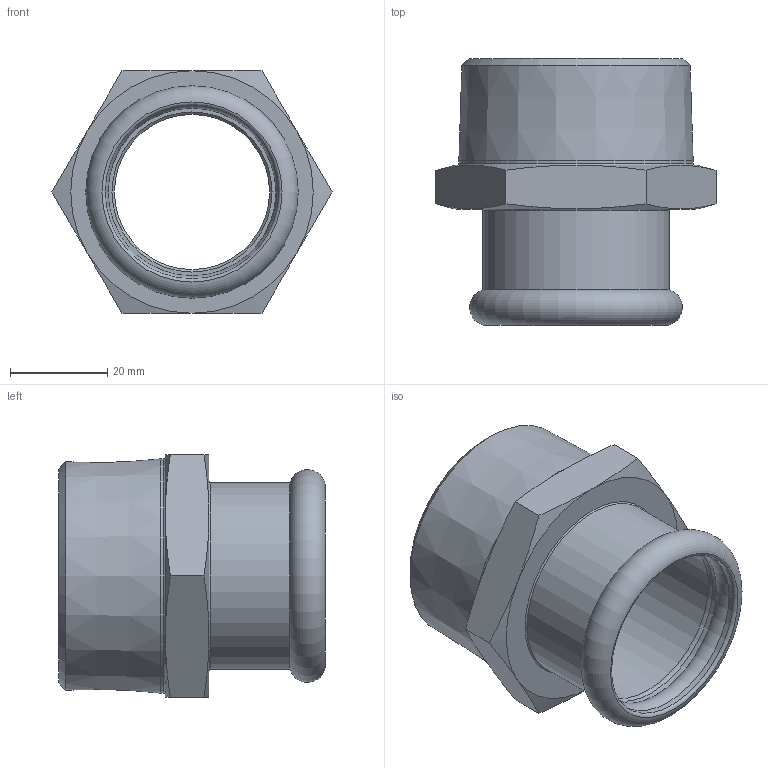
import cadquery as cq
import math

total_length = 55.0

across_flats = 50.0
across_corners = across_flats / math.cos(math.radians(30))
hex_start = 24.0
hex_end = 33.0
hex_chamfer_angle = 15.0

tube_radius = 38.4 / 2
tube_root_fillet = 0.3
bead_radius = 3.72
bead_center_radius = 18.2

lip_edge_radius = 18.57
mouth_radius = 35.8 / 2
seal_half_width = 1.8
seal_crest_radius = 17.3
mouth_end = 6.7
socket_radius = 35.4 / 2
narrowing_end = 7.7
socket_depth = 26.0

bore_radius = 32.0 / 2
bore_chamfer = 0.5

thread_radius = 48.3 / 2
thread_root_fillet = 0.4
thread_taper_start = 34.0
thread_taper = 1 / 16
thread_chamfer_length = 1.5
thread_end_radius = 22.05


def chord_half_width(circle_radius, offset):
    """Half length of the chord lying at the given offset from a circle's center."""
    return math.sqrt(circle_radius**2 - offset**2)


def revolve_about_axis(profile):
    return profile.close().revolve(360, (0, 0, 0), (0, 1, 0))


def add_fillet(profile, center, radius, start_angle, end_angle):
    """Continue the profile along an arc given by its center and its angles in degrees."""
    def arc_point(angle):
        turn = math.radians(angle)
        return (center[0] + radius * math.cos(turn), center[1] + radius * math.sin(turn))

    return profile.threePointArc(arc_point((start_angle + end_angle) / 2), arc_point(end_angle))


def make_hexagon():
    """Hexagonal nut with both faces chamfered down to the inscribed circle."""
    prism = (
        cq.Workplane("XZ", origin=(0, hex_start, 0))
        .polygon(6, across_corners)
        .extrude(hex_start - hex_end)
    )
    flat_radius = across_flats / 2
    corner_radius = across_corners / 2
    chamfer_length = (corner_radius - flat_radius) * math.tan(math.radians(hex_chamfer_angle))
    envelope = (
        cq.Workplane("XY")
        .moveTo(0, hex_start)
        .lineTo(flat_radius, hex_start)
        .lineTo(corner_radius, hex_start + chamfer_length)
        .lineTo(corner_radius, hex_end - chamfer_length)
        .lineTo(flat_radius, hex_end)
        .lineTo(0, hex_end)
    )
    return prism.intersect(revolve_about_axis(envelope))


def make_tube():
    """Socket tube with the rounded bead at its mouth and a small fillet against the hexagon."""
    bead_end = bead_radius + chord_half_width(bead_radius, tube_radius - bead_center_radius)
    fillet_center = (tube_radius + tube_root_fillet, hex_start - tube_root_fillet)
    profile = (
        cq.Workplane("XY")
        .moveTo(0, 0)
        .lineTo(lip_edge_radius, 0)
        .threePointArc((bead_center_radius + bead_radius, bead_radius), (tube_radius, bead_end))
        .lineTo(tube_radius, fillet_center[1])
    )
    profile = add_fillet(profile, fillet_center, tube_root_fillet, 180, 90)
    return revolve_about_axis(profile.lineTo(0, hex_start))


def make_thread():
    """Tapered thread envelope with a fillet against the hexagon and a chamfered end."""
    chamfer_start = total_length - thread_chamfer_length
    chamfer_radius = thread_radius - (chamfer_start - thread_taper_start) * thread_taper / 2
    fillet_center = (thread_radius + thread_root_fillet, hex_end + thread_root_fillet)
    profile = (
        cq.Workplane("XY")
        .moveTo(0, total_length)
        .lineTo(thread_end_radius, total_length)
        .lineTo(chamfer_radius, chamfer_start)
        .lineTo(thread_radius, thread_taper_start)
        .lineTo(thread_radius, fillet_center[1])
    )
    profile = add_fillet(profile, fillet_center, thread_root_fillet, 180, 270)
    return revolve_about_axis(profile.lineTo(0, hex_end))


def make_cavity():
    """Rounded lip, seal ridge, socket and through bore."""
    lip_radius = lip_edge_radius - mouth_radius
    narrowing_length = narrowing_end - mouth_end
    narrowing_midpoint = (
        socket_radius + (mouth_radius - socket_radius) / 4,
        narrowing_end - narrowing_length / 2,
    )
    profile = cq.Workplane("XY").moveTo(0, 0).lineTo(lip_edge_radius, 0)
    profile = add_fillet(profile, (lip_edge_radius, lip_radius), lip_radius, 270, 180)
    profile = (
        profile
        .lineTo(mouth_radius, bead_radius - seal_half_width)
        .threePointArc(
            (seal_crest_radius, bead_radius),
            (mouth_radius, bead_radius + seal_half_width),
        )
        .lineTo(mouth_radius, mouth_end)
        .threePointArc(narrowing_midpoint, (socket_radius, narrowing_end))
        .lineTo(socket_radius, socket_depth)
        .lineTo(bore_radius + bore_chamfer, socket_depth)
        .lineTo(bore_radius, socket_depth + bore_chamfer)
        .lineTo(bore_radius, total_length)
        .lineTo(0, total_length)
    )
    return revolve_about_axis(profile)


result = make_hexagon().union(make_tube()).union(make_thread()).cut(make_cavity())